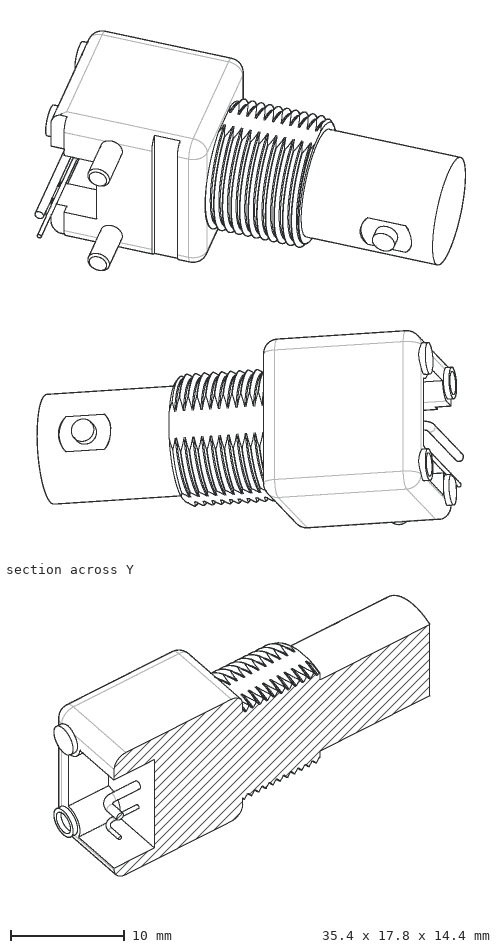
import cadquery as cq
import math


housing_length = 14.25
housing_width = 13.0
housing_height = 14.4
housing_round = 1.3
front_y = -housing_width / 2

relief_depth = 0.8
rear_step_length = 1.46
relief_groove_start = 9.55
relief_groove_end = 11.9

cavity_depth = 4.45
cavity_side_y = 4.24
cavity_top_z = 4.63
cavity_bottom_z = -5.7
window_top_z = 3.13
window_bottom_z = -3.68

pad_y = 4.29
pad_z = 4.84
pad_radius = 1.4
pad_height = 0.5
pad_recess_radius = 1.03
boss_radius = 1.75

post_x = 5.84
post_z = 5.08
post_radius = 1.0
post_tip_y = -10.5
post_chamfer = 0.2

pin_tip_y = -11.29
pin_drop_x = 0.68
pin_bend_radius = 1.0
signal_pin_radius = 0.4
ground_pin_radius = 0.19
ground_pin_z = -2.54

neck_end = 22.8
thread_radius = 5.88
inch = 25.4
threads_per_inch = 32
thread_pitch = inch / threads_per_inch
thread_depth = 0.4
thread_crest_flat = 0.05
thread_root_flat = 0.12
thread_start_x = 13.29
neck_flat_z = 5.42
neck_flat_y = 5.34

barrel_radius = 4.85
barrel_end = 34.91
lug_x = 30.6
lug_radius = 1.02
lug_reach = 5.55
spotface_radius = 2.37
spotface_y = 4.58

overlap = 1.0

fit_tolerance = 1e-4


def box_between(x, y, z):
    """Axis-aligned box given its (start, end) along each axis."""
    size = [end - start for start, end in (x, y, z)]
    return cq.Workplane("XY").box(*size, centered=False).translate((x[0], y[0], z[0]))


def rod_x(radius, start, end, y=0, z=0):
    """Cylinder along X."""
    axis_start = cq.Vector(start, y, z)
    return cq.Workplane(cq.Solid.makeCylinder(radius, end - start, axis_start, cq.Vector(1, 0, 0)))


def rod_y(radius, start, end, x, z=0):
    """Cylinder along Y."""
    axis_start = cq.Vector(x, start, z)
    return cq.Workplane(cq.Solid.makeCylinder(radius, end - start, axis_start, cq.Vector(0, 1, 0)))


def make_housing():
    """Rounded block whose edge between the back and mounting faces stays sharp."""
    half_height = housing_height / 2
    block = box_between((0, housing_length), (front_y, -front_y), (-half_height, half_height))
    sharp_edge = cq.selectors.NearestToPointSelector((0, front_y, 0))
    sharp = block.edges(sharp_edge).val()
    rounded_edges = [edge for edge in block.edges().vals() if not edge.isSame(sharp)]
    block = block.newObject(rounded_edges).fillet(housing_round)

    relief_y = (front_y - overlap, front_y + relief_depth)
    relief_z = (-housing_height, housing_height)
    for relief_x in ((-overlap, rear_step_length), (relief_groove_start, relief_groove_end)):
        block = block.cut(box_between(relief_x, relief_y, relief_z))
    return block


def make_cavity():
    """Hollow of the housing, with the corner bosses left standing and a window at -Y.

    It runs out past the pads, so the window trims the pad at its lower corner.
    """
    depth = (-overlap, cavity_depth)
    block_y = pad_radius - pad_y
    hollow = box_between(depth, (block_y, cavity_side_y), (cavity_bottom_z, cavity_top_z))
    upper_bay = box_between(depth, (-pad_y, block_y), (window_bottom_z, cavity_top_z))
    window = box_between(depth, (front_y - overlap, block_y), (window_bottom_z, window_top_z))
    cavity = hollow.union(upper_bay)
    for y, z in ((pad_y, pad_z), (pad_y, -pad_z), (-pad_y, pad_z)):
        cavity = cavity.cut(rod_x(boss_radius, -2 * overlap, cavity_depth + overlap, y, z))
    return cavity.union(window)


def add_pads(body):
    """Four rear pads; one diagonal pair has a round recess as deep as the pad."""
    for y_side in (-1, 1):
        for z_side in (-1, 1):
            y = y_side * pad_y
            z = z_side * pad_z
            body = body.union(rod_x(pad_radius, -pad_height, housing_round, y, z))
            if y_side != z_side:
                body = body.cut(rod_x(pad_recess_radius, -pad_height, 0, y, z))
    return body


def make_post(z):
    """Mounting post standing on the -Y face, chamfered at its tip."""
    post = rod_y(post_radius, post_tip_y, front_y + overlap, post_x, z)
    return post.faces("<Y").chamfer(post_chamfer)


def make_pin(radius, z):
    """Round pin leaving the cavity floor along X and bent down to -Y."""
    bend_x = pin_drop_x + pin_bend_radius
    diagonal = pin_bend_radius * math.sqrt(0.5)
    path = (
        cq.Workplane("XY", origin=(0, 0, z))
        .moveTo(cavity_depth + overlap, 0)
        .lineTo(bend_x, 0)
        .threePointArc((bend_x - diagonal, diagonal - pin_bend_radius), (pin_drop_x, -pin_bend_radius))
        .lineTo(pin_drop_x, pin_tip_y)
    )
    section = cq.Workplane("YZ", origin=(cavity_depth + overlap, 0, z)).circle(radius)
    return section.sweep(path)


def make_thread_groove():
    """Helical groove of trapezoid section along X, running past both ends of the neck."""
    length = neck_end - thread_start_x + thread_pitch
    root_radius = thread_radius - thread_depth
    outer_radius = thread_radius + thread_depth
    half_mouth = (thread_pitch - thread_crest_flat) / 2
    half_root = thread_root_flat / 2
    helix = cq.Wire.makeHelix(thread_pitch, length, root_radius)
    groove = (
        cq.Workplane("XZ")
        .moveTo(root_radius, -half_root)
        .lineTo(root_radius, half_root)
        .lineTo(thread_radius, half_mouth)
        .lineTo(outer_radius, half_mouth)
        .lineTo(outer_radius, -half_mouth)
        .lineTo(thread_radius, -half_mouth)
        .close()
        .sweep(cq.Workplane(helix), isFrenet=True)
    )
    return groove.rotate((0, 0, 0), (0, 1, 0), 90).translate((thread_start_x, 0, 0))


def make_neck():
    """Threaded neck, chamfered to the thread root, with flats on the +Y, +Z and -Z sides."""
    length = (housing_length, neck_end)
    flats = box_between(length, (-2 * thread_radius, neck_flat_y), (-neck_flat_z, neck_flat_z))
    blank = rod_x(thread_radius, *length).faces(">X").chamfer(thread_depth)
    return blank.intersect(flats).cut(make_thread_groove(), clean=False, tol=fit_tolerance)


def make_barrel():
    """Barrel, rooted in the housing through the neck, with two lugs on round spotfaces."""
    barrel = rod_x(barrel_radius, housing_length - overlap, barrel_end)
    for start, end in ((spotface_y, lug_reach), (-lug_reach, -spotface_y)):
        barrel = barrel.cut(rod_y(spotface_radius, start, end, lug_x))
    return barrel.union(rod_y(lug_radius, -lug_reach, lug_reach, lug_x))


body = add_pads(make_housing())
body = body.cut(make_cavity())
for side in (-1, 1):
    body = body.union(make_post(side * post_z))
body = body.union(make_pin(signal_pin_radius, 0))
body = body.union(make_pin(ground_pin_radius, ground_pin_z))
result = body.union(make_barrel()).union(make_neck(), clean=False)